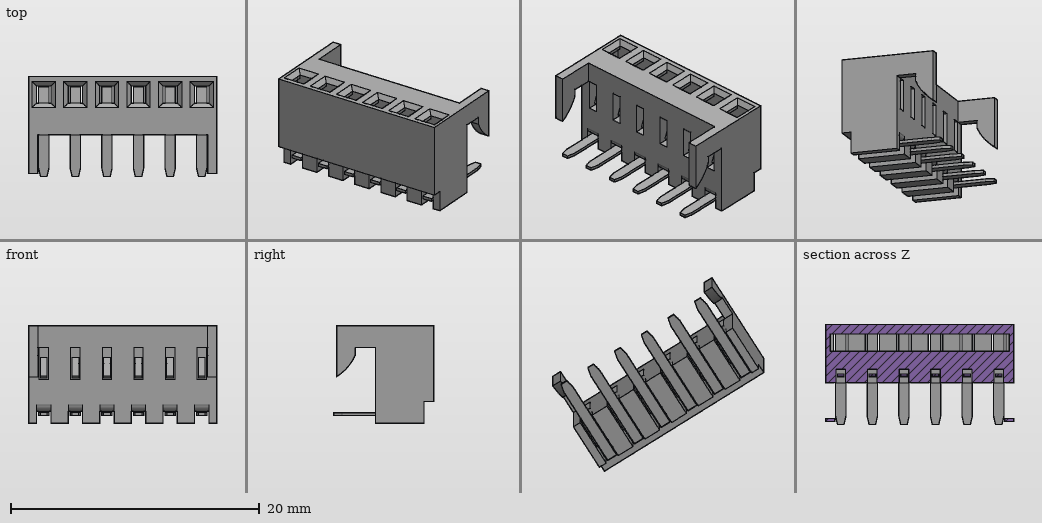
import cadquery as cq
import math

pin_count = 6
pitch = 2.54
length = 15.14
height = 7.87
depth = 4.70
overall_depth = 8.05
pin_positions = [(i - (pin_count - 1) / 2) * pitch for i in range(pin_count)]

step_height = 1.75
step_depth = 0.78
wing_thickness = 0.75
wing_reach = 3.11
wing_arm_height = 1.77
hook_start = 1.61
hook_straight = 0.63
hook_height = 4.12
hook_bulge = 0.17

socket_width = 1.14
socket_depth = 1.36
funnel_depth = 0.37
throat_height = 0.27
end_wall = 0.39
chamber_back = depth - step_depth
chamber_front = chamber_back - socket_depth
chamber_top = height - funnel_depth - throat_height
chamber_floor = step_height

window_width = 0.74
window_bottom = 3.54
window_top = 6.11
slot_width = socket_width
slot_ceiling = 0.97
slot_front_radius = 0.51

metal = 0.25
contact_width = 0.85
pin_bottom = 0.62
pin_reach = overall_depth - depth
tip_width = 0.54
tip_length = 0.68
bend_radius = 0.50
plate_top = 6.50
leaf_root = 5.50
leaf_slope = math.radians(10.7)
leaf_clearance = 0.08
lance_width = 0.55
lance_top = 5.30
lance_tip = 3.82
lance_depth = 0.49
lance_lean = math.radians(22)
lance_end_height = 0.16
lance_end_tilt = math.radians(39)
pin_top = pin_bottom + metal
lance_run = (lance_top - lance_tip) * math.tan(lance_lean)
plate_front = lance_depth + lance_run
plate_back = plate_front + metal


def box(x_center, width, y_min, y_max, z_min, z_max):
    """Block centred on x_center, between the given Y and Z limits."""
    block = cq.Workplane("XY").box(width, y_max - y_min, z_max - z_min, centered=(True, False, False))
    return block.translate((x_center, y_min, z_min))


def extrude_side(outline, x_center, width):
    """Closed outline in the YZ plane extruded symmetrically about x_center."""
    return outline.extrude(width / 2, both=True).translate((x_center, 0, 0))


def side_profile(points, x_center, width):
    """Closed (Y, Z) polygon extruded symmetrically about x_center."""
    return extrude_side(cq.Workplane("YZ").polyline(points).close(), x_center, width)


def housing_block():
    """Solid housing with a step along the bottom rear edge."""
    outline = [
        (0, 0),
        (chamber_back, 0),
        (chamber_back, step_height),
        (depth, step_height),
        (depth, height),
        (0, height),
    ]
    return side_profile(outline, 0, length)


def wing(side):
    """Forward arm with a down-turned hook at one end of the housing."""
    arm_bottom = height - wing_arm_height
    hook_top = arm_bottom - hook_straight
    hook_tip = height - hook_height
    run = wing_reach - hook_start
    drop = hook_top - hook_tip
    chord = math.hypot(run, drop)
    arc_middle = (
        -hook_start - run / 2 + hook_bulge * drop / chord,
        (hook_top + hook_tip) / 2 - hook_bulge * run / chord,
    )
    outline = (
        cq.Workplane("YZ")
        .moveTo(0, height)
        .lineTo(0, arm_bottom)
        .lineTo(-hook_start, arm_bottom)
        .lineTo(-hook_start, hook_top)
        .threePointArc(arc_middle, (-wing_reach, hook_tip))
        .lineTo(-wing_reach, height)
        .close()
    )
    return extrude_side(outline, side * (length - wing_thickness) / 2, wing_thickness)


def socket(x):
    """Funnel and straight throat leading from the top face into the chamber."""
    y_center = (chamber_front + chamber_back) / 2
    funnel = (
        cq.Workplane("XY", origin=(x, y_center, height))
        .rect(socket_width + 2 * funnel_depth, socket_depth + 2 * funnel_depth)
        .workplane(offset=-funnel_depth)
        .rect(socket_width, socket_depth)
        .loft(ruled=True)
    )
    throat = box(x, socket_width, chamber_front, chamber_back, chamber_top, height - funnel_depth)
    return funnel.union(throat)


def pin_slot(x):
    """Through slot under the housing, rounded at the front and open to the chamber above."""
    front_round = (
        cq.Workplane("YZ")
        .moveTo(0, slot_ceiling + slot_front_radius)
        .radiusArc((slot_front_radius, slot_ceiling), -slot_front_radius)
        .lineTo(0, slot_ceiling)
        .close()
    )
    channel = box(x, slot_width, 0, depth, 0, slot_ceiling)
    riser = box(x, slot_width, chamber_front, chamber_back, 0, chamber_floor)
    return channel.union(riser).union(extrude_side(front_round, x, slot_width))


def window(x):
    """Opening in the front wall that reaches back to the contact plate."""
    return box(x, window_width, 0, plate_front, window_bottom, window_top)


def contact_pin(x):
    """Flat horizontal pin with a tapered tip, running back to the rear end of the slot."""
    outline = [
        (-contact_width / 2, chamber_back),
        (contact_width / 2, chamber_back),
        (contact_width / 2, tip_length - pin_reach),
        (tip_width / 2, -pin_reach),
        (-tip_width / 2, -pin_reach),
        (-contact_width / 2, tip_length - pin_reach),
    ]
    return cq.Workplane("XY").polyline(outline).close().extrude(metal).translate((x, 0, pin_bottom))


def contact_plate(x):
    """Bend up from the pin and upright plate set into the inner side of the front wall."""
    outline = (
        cq.Workplane("YZ")
        .moveTo(plate_front - bend_radius, pin_bottom)
        .radiusArc((plate_back, pin_top + bend_radius), -(bend_radius + metal))
        .lineTo(plate_back, plate_top)
        .lineTo(plate_front, plate_top)
        .lineTo(plate_front, pin_top + bend_radius)
        .radiusArc((plate_front - bend_radius, pin_top), bend_radius)
        .close()
    )
    return extrude_side(outline, x, contact_width)


def contact_leaf(x):
    """Leaf running back from the plate across the chamber, sloping gently to its free end."""
    leaf_back = chamber_back - leaf_clearance
    leaf_end = leaf_root - (leaf_back - plate_back) * math.tan(leaf_slope)
    outline = [
        (plate_back, leaf_root),
        (leaf_back, leaf_end),
        (leaf_back, leaf_end - metal),
        (plate_back, leaf_root - metal),
    ]
    return side_profile(outline, x, contact_width)


def locking_lance(x):
    """Tongue sloping forward and down from the plate into the window, with a slanted end."""
    end_bottom = lance_tip - lance_end_height
    end_back = lance_depth + lance_end_height * math.tan(lance_end_tilt)
    outline = [
        (plate_front, lance_top),
        (lance_depth, lance_tip),
        (end_back, end_bottom),
        (plate_front, end_bottom + (plate_front - end_back) / math.tan(lance_lean)),
    ]
    return side_profile(outline, x, lance_width)


housing = housing_block().union(wing(-1)).union(wing(1))
housing = housing.cut(
    box(0, length - 2 * end_wall, chamber_front, chamber_back, chamber_floor, chamber_top)
)
for x in pin_positions:
    housing = housing.cut(socket(x)).cut(pin_slot(x)).cut(window(x))

body = housing
for x in pin_positions:
    contact = contact_pin(x).union(contact_plate(x)).union(contact_leaf(x)).union(locking_lance(x))
    body = body.union(contact)

result = cq.Workplane(body.solids().val())